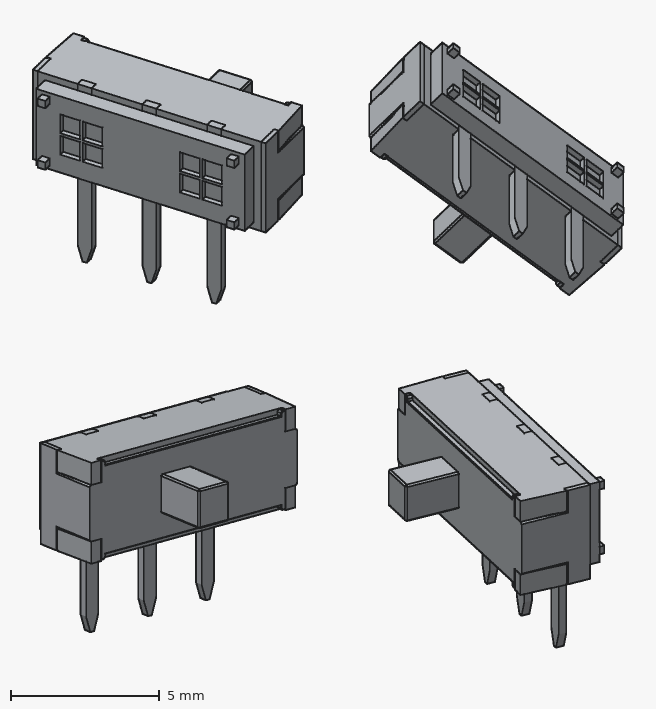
import cadquery as cq


LENGTH = 9.0
DEPTH = 2.6
HEIGHT = 3.6
END_TAPER = 0.08
BAR_DEPTH = 0.89
RECESS_LENGTH = 7.99

PANEL_LENGTH = 8.06
PANEL_HEIGHT = 3.08
PANEL_THICKNESS = 0.6
POST_SIZE = 0.3
POST_X = 3.65
POST_Z = 1.24
POCKET_SIZE = 0.76
POCKET_PITCH = 0.86
POCKET_DEPTH = 0.2
POCKET_GROUP_X = 2.31
POCKET_SHIFT = 0.03

KNOB_LENGTH = 1.31
KNOB_HEIGHT = 1.4
KNOB_REACH = 2.0
KNOB_X = 0.73
KNOB_CHAMFER = 0.06

PLATE_THICKNESS = 0.21
ARM_THICKNESS = 0.18
STEM_HEIGHT = 2.02
NOTCH_CHAMFER = 0.06
EAR_LENGTH = 0.2
EAR_CHAMFER = 0.07
EAR_GAP = 0.03
PLATE_RELIEF = 0.18
PLATE_CHAMFER = 0.03

PIN_PITCH = 2.5
PIN_COUNT = 3
PIN_WIDTH = 0.54
PIN_THICKNESS = 0.3
PIN_REACH = 3.5
PIN_TIP_WIDTH = 0.16
PIN_TIP_LENGTH = 0.6

MARGIN = 0.01


def block(x_size, y_start, y_end, z_size, x=0.0, z=0.0):
    """Box centred on (x, z) that spans y_start to y_end."""
    y_size = y_end - y_start
    return cq.Workplane("XY").box(x_size, y_size, z_size).translate((x, (y_start + y_end) / 2, z))


def make_pin(x):
    """Flat pin, flush with the front and top of the housing, with a tapered tip."""
    half = PIN_WIDTH / 2
    half_tip = PIN_TIP_WIDTH / 2
    top = HEIGHT / 2
    bottom = -HEIGHT / 2 - PIN_REACH
    shoulder = bottom + PIN_TIP_LENGTH
    outline = [
        (x - half, top),
        (x + half, top),
        (x + half, shoulder),
        (x + half_tip, bottom),
        (x - half_tip, bottom),
        (x - half, shoulder),
    ]
    return cq.Workplane("XZ").polyline(outline).close().extrude(-PIN_THICKNESS)


def make_left_arm(chamfer):
    """T-shaped end arm: a full-height bar at the front and a stem reaching to the back."""
    half_bar = HEIGHT / 2
    half_stem = STEM_HEIGHT / 2
    outline = [
        (0, -half_bar),
        (BAR_DEPTH, -half_bar),
        (BAR_DEPTH, -half_stem),
        (DEPTH, -half_stem),
        (DEPTH, half_stem),
        (BAR_DEPTH, half_stem),
        (BAR_DEPTH, half_bar),
        (0, half_bar),
    ]
    outer_face = cq.Workplane("YZ").workplane(offset=-LENGTH / 2)
    arm = outer_face.polyline(outline).close().extrude(ARM_THICKNESS)
    if chamfer > 0:
        beside_notches = cq.selectors.BoxSelector(
            (-LENGTH, BAR_DEPTH - MARGIN, -HEIGHT), (0, DEPTH - MARGIN, HEIGHT)
        )
        arm = arm.faces("<X").edges(beside_notches).chamfer(chamfer)
    return arm


def make_arms(chamfer=0.0):
    """Both end arms, mirror images of each other."""
    left_arm = make_left_arm(chamfer)
    return left_arm.union(left_arm.mirror("YZ"))


def make_plate():
    """Back plate with four corner ears, and a strap joining it to both arms."""
    back_start = DEPTH - PLATE_THICKNESS
    plate_height = HEIGHT - 2 * EAR_GAP
    plate = block(RECESS_LENGTH, back_start, DEPTH, plate_height)
    relief_length = RECESS_LENGTH - 2 * EAR_LENGTH
    relief_z = (plate_height - PLATE_RELIEF) / 2
    for z in (-relief_z, relief_z):
        relief = block(relief_length, back_start, DEPTH, PLATE_RELIEF, z=z)
        plate = plate.cut(relief)
    beside_relief = cq.selectors.BoxSelector(
        (-relief_length / 2 - MARGIN, 0, -HEIGHT), (relief_length / 2 + MARGIN, DEPTH, HEIGHT)
    )
    plate = plate.edges("|Y").edges(">Z or <Z").edges(beside_relief).chamfer(EAR_CHAMFER)
    plate = plate.faces(">Y").edges().chamfer(PLATE_CHAMFER)
    strap_length = LENGTH - 2 * ARM_THICKNESS
    return plate.union(block(strap_length, back_start, DEPTH, STEM_HEIGHT))


def make_knob():
    """Chamfered knob that rises from the housing through the cover plate."""
    knob = block(KNOB_LENGTH, DEPTH - PLATE_THICKNESS, DEPTH + KNOB_REACH, KNOB_HEIGHT, x=KNOB_X)
    return knob.edges("|Y or >Y").chamfer(KNOB_CHAMFER)


def make_panel():
    """Front panel with a post near each corner and two groups of four square pockets."""
    front = -PANEL_THICKNESS
    panel = block(PANEL_LENGTH, front, 0, PANEL_HEIGHT)
    for x in (-POST_X, POST_X):
        for z in (-POST_Z, POST_Z):
            panel = panel.union(block(POST_SIZE, front - POST_SIZE, front, POST_SIZE, x, z))
    half_pitch = POCKET_PITCH / 2
    for group_x in (POCKET_SHIFT - POCKET_GROUP_X, POCKET_SHIFT + POCKET_GROUP_X):
        for x in (group_x - half_pitch, group_x + half_pitch):
            for z in (-half_pitch, half_pitch):
                panel = panel.cut(block(POCKET_SIZE, front, front + POCKET_DEPTH, POCKET_SIZE, x, z))
    return panel


def make_housing(knob, pins):
    """Block with tapered ends, recessed for cover and pins, carrying the panel and the knob."""
    half = LENGTH / 2
    outline = [
        (-half, 0),
        (half, 0),
        (half, BAR_DEPTH),
        (half - END_TAPER, DEPTH),
        (-half + END_TAPER, DEPTH),
        (-half, BAR_DEPTH),
    ]
    back_start = DEPTH - PLATE_THICKNESS
    body = cq.Workplane("XY").polyline(outline).close().extrude(HEIGHT / 2, both=True)
    body = body.cut(block(RECESS_LENGTH, back_start, DEPTH, HEIGHT))
    body = body.cut(block(LENGTH, back_start, DEPTH, STEM_HEIGHT))
    body = body.cut(make_arms())
    for pin in pins:
        body = body.cut(pin)
    return body.union(make_panel()).union(knob)


first_pin_x = -(PIN_COUNT - 1) / 2 * PIN_PITCH
pins = [make_pin(first_pin_x + index * PIN_PITCH) for index in range(PIN_COUNT)]
knob = make_knob()
housing = make_housing(knob, pins)
cover = make_plate().union(make_arms(NOTCH_CHAMFER)).cut(knob)

result = cq.Compound.makeCompound([housing.val(), cover.val(), *[pin.val() for pin in pins]])